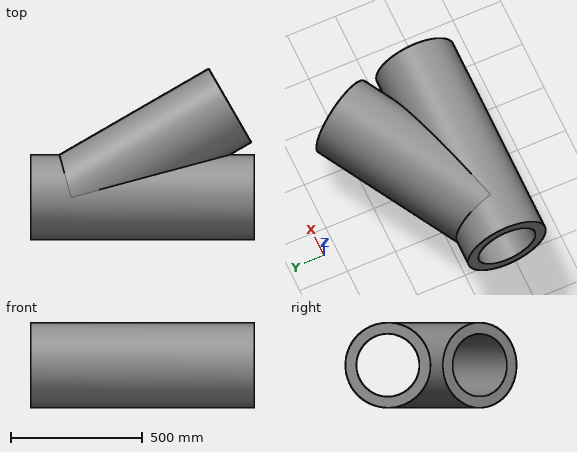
import cadquery as cq
import math

outer_diameter = 324.0
bore_diameter = 238.0

run_length = 851.0

branch_angle = 30.0
branch_start = 153.0
branch_length = 699.0

branch_radians = math.radians(branch_angle)
run_plane = cq.Plane(origin=(0, 0, 0), xDir=(0, 1, 0), normal=(1, 0, 0))
branch_plane = cq.Plane(
    origin=(branch_start, 0, 0),
    xDir=(0, 0, 1),
    normal=(math.cos(branch_radians), math.sin(branch_radians), 0),
)


def wye(diameter):
    """Solid cylinders of one diameter along both pipe axes, joined together."""
    run = cq.Workplane(run_plane).circle(diameter / 2).extrude(run_length)
    branch = cq.Workplane(branch_plane).circle(diameter / 2).extrude(branch_length)
    return run.union(branch)


result = wye(outer_diameter).cut(wye(bore_diameter))